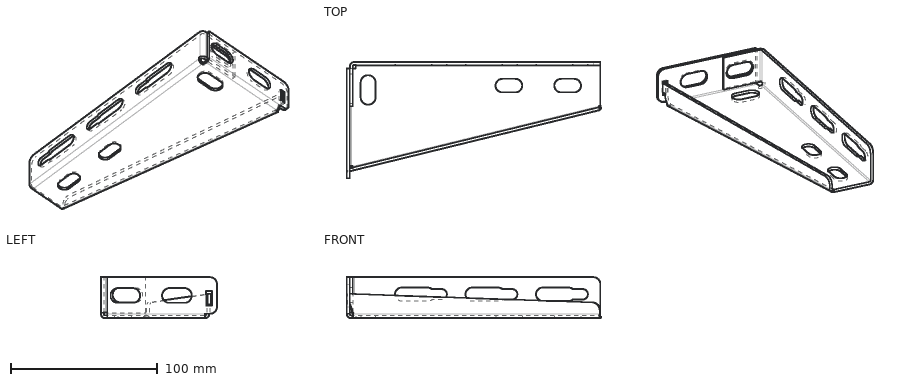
import cadquery as cq
import math

width = 79.2
height = 28.0

sheet = 2.0
inner_bend = 0.9
outer_bend = sheet + inner_bend
corner_radius = 5.0
bend_flange_top = height / 2

front_start = cq.Vector(sheet, 4.7, 0)
front_end = cq.Vector(173.4, 46.6, 0)
front_height_start = 16.6
front_height_end = 10.5

front_bend_start = 2.6
tongue_start = 0.3
tongue_bottom = 9.4
ledge_depth = 1.2
ledge_height = 1.0

back_relief_x = 6.0
back_relief_z = 3.8
end_top_y = width - 4.3
front_relief_y = 8.3

fold_gap = 0.09
tab_x = sheet + fold_gap
tab_end_y = 48.8

cross_slot_length, cross_slot_width = 20.0, 10.0
cross_slot_x, cross_slot_y = 14.5, 60.1
base_slot_length, base_slot_width = 18.0, 9.0
base_slot_x, base_slot_y, base_slot_pitch = 110.3, 63.0, 40.0

back_slot_count = 3
back_slot_x, back_slot_z, back_slot_pitch = 32.9, 16.3, 48.0
wide_slot_length, wide_slot_width = 26.7, 9.0
stepped_slot_length, narrow_slot_width = 35.2, 7.0

end_slot_length, end_slot_width = 20.1, 10.0
end_slot_y, end_slot_z, end_slot_pitch = 27.4, 15.5, 35.2
tab_slot_shift_y, tab_slot_shift_z = -1.5, 0.5

window_y, window_z = 5.5, 13.5
window_width, window_height = 3.8, 9.9

up = cq.Vector(0, 0, 1)
front_run = front_end - front_start
front_length = front_run.Length
front_along = front_run.normalized()
front_inward = up.cross(front_along)

base_front_start = front_start + front_inward * outer_bend + front_along * front_bend_start
base_front_end = front_end + front_inward * outer_bend
base_end_x = base_front_end.x


def box(x0, x1, y0, y1, z0, z1):
    """Box between two limits on each axis."""
    return cq.Workplane("XY").box(x1 - x0, y1 - y0, z1 - z0, centered=False).translate((x0, y0, z0))


def bent_wall(start, along, run, top):
    """Bend and upright wall along the line of the outer face, without the flat base."""
    inward = up.cross(along)
    bend_centre = (outer_bend, outer_bend)
    diagonal = math.sqrt(0.5)
    outer_mid = tuple(c - outer_bend * diagonal for c in bend_centre)
    inner_mid = tuple(c - inner_bend * diagonal for c in bend_centre)
    return (
        cq.Workplane(cq.Plane(origin=start, xDir=inward, normal=along))
        .moveTo(outer_bend, 0)
        .threePointArc(outer_mid, (0, outer_bend))
        .lineTo(0, top)
        .lineTo(sheet, top)
        .lineTo(sheet, outer_bend)
        .threePointArc(inner_mid, (outer_bend, sheet))
        .close()
        .extrude(run)
    )


def base():
    return (
        cq.Workplane("XY")
        .polyline([
            (outer_bend, front_relief_y),
            (base_front_start.x, base_front_start.y),
            (base_front_end.x, base_front_end.y),
            (base_end_x, width - outer_bend),
            (back_relief_x, width - outer_bend),
            (back_relief_x, end_top_y),
            (outer_bend, end_top_y),
        ])
        .close()
        .extrude(sheet)
    )


def front_wall():
    """Sloped wall with a falling top edge, a rounded far corner and a tongue into the end plate."""
    tongue_reach = (front_start.x + sheet * front_inward.x) / front_along.x
    wall = bent_wall(
        front_start - front_along * tongue_reach,
        front_along,
        front_length + tongue_reach,
        height,
    )
    slope = (front_height_end - front_height_start) / front_length
    wall_end = front_length - ledge_depth
    wall_end_height = front_height_start + wall_end * slope
    outline = (
        cq.Workplane(cq.Plane(origin=front_start, xDir=front_along, normal=front_inward * -1))
        .polyline([
            (front_bend_start, 0),
            (front_length, 0),
            (front_length, ledge_height),
            (wall_end, ledge_height),
            (wall_end, wall_end_height),
            (-tongue_reach, front_height_start - tongue_reach * slope),
            (-tongue_reach, tongue_bottom),
            (tongue_start, tongue_bottom),
            (front_bend_start, outer_bend),
        ])
        .close()
        .extrude(outer_bend, both=True)
    )
    far_corner = front_start + front_along * wall_end + up * wall_end_height
    outline = (
        outline.edges(cq.selectors.ParallelDirSelector(front_inward))
        .edges(cq.NearestToPointSelector(far_corner.toTuple()))
        .fillet(corner_radius)
    )
    return wall.intersect(outline)


def back_wall():
    """Straight wall whose upright part runs past the bend to meet the corner tab."""
    bend = bent_wall(
        cq.Vector(base_end_x, width, 0), cq.Vector(-1, 0, 0), base_end_x - back_relief_x, bend_flange_top
    )
    upright = box(tab_x + outer_bend, base_end_x, width - sheet, width, back_relief_z, height)
    return bend.union(upright.edges("|Y and >X and >Z").fillet(corner_radius))


def back_tab():
    """Tab turned round the back corner, with the upright corner bend."""
    solid = box(tab_x, back_relief_x, tab_end_y, width, back_relief_z, height)
    hollow = box(tab_x + sheet, base_end_x, 0, width - sheet, back_relief_z, height)
    corner = "|Z and <X and >Y"
    return solid.edges(corner).fillet(outer_bend).cut(hollow.edges(corner).fillet(inner_bend))


def end_plate():
    plate = box(0, sheet, 0, end_top_y, outer_bend, height).edges("|X and <Y").fillet(corner_radius)
    bend = bent_wall(
        cq.Vector(0, end_top_y, 0), cq.Vector(0, -1, 0), end_top_y - front_relief_y, bend_flange_top
    )
    return plate.union(bend)


def base_slots():
    long_slots = (
        cq.Workplane("XY")
        .pushPoints([(base_slot_x, base_slot_y), (base_slot_x + base_slot_pitch, base_slot_y)])
        .slot2D(base_slot_length, base_slot_width)
        .extrude(sheet)
    )
    cross_slot = (
        cq.Workplane("XY")
        .center(cross_slot_x, cross_slot_y)
        .slot2D(cross_slot_length, cross_slot_width, 90)
        .extrude(sheet)
    )
    return long_slots.union(cross_slot)


def back_slot(left):
    """Stepped slot through the back wall, starting at the given X."""
    narrow_length = stepped_slot_length - wide_slot_width / 2
    plane = cq.Workplane("XZ", origin=(left, width, back_slot_z))
    wide = (
        plane.pushPoints([(wide_slot_length / 2, 0)])
        .slot2D(wide_slot_length, wide_slot_width)
        .extrude(sheet)
    )
    narrow = (
        plane.pushPoints([(stepped_slot_length - narrow_length / 2, 0)])
        .slot2D(narrow_length, narrow_slot_width)
        .extrude(sheet)
    )
    return wide.union(narrow)


def end_slot(x, y, z):
    """Slot through one sheet whose outer face is at the given X."""
    return cq.Workplane("YZ", origin=(x, y, z)).slot2D(end_slot_length, end_slot_width).extrude(sheet)


def window():
    return (
        cq.Workplane("YZ", origin=(0, window_y, window_z))
        .rect(window_width, window_height)
        .extrude(sheet)
    )


outer_end_slot_y = end_slot_y + end_slot_pitch

slotted_base = base().cut(base_slots())

slotted_end = end_plate().cut(window())
for slot_y in (end_slot_y, outer_end_slot_y):
    slotted_end = slotted_end.cut(end_slot(0, slot_y, end_slot_z))

slotted_tab = back_tab().cut(
    end_slot(tab_x, outer_end_slot_y + tab_slot_shift_y, end_slot_z + tab_slot_shift_z)
)

slotted_back = back_wall()
for index in range(back_slot_count):
    slotted_back = slotted_back.cut(back_slot(back_slot_x + index * back_slot_pitch))

result = (
    slotted_base.union(front_wall())
    .union(slotted_back)
    .union(slotted_tab)
    .union(slotted_end)
)